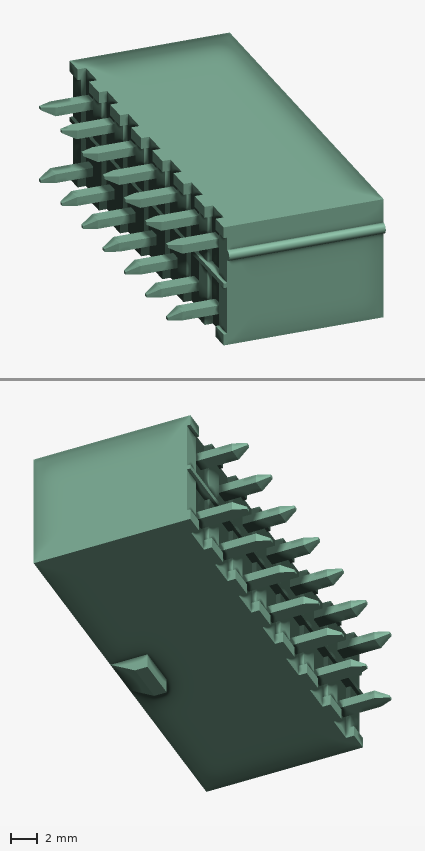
import cadquery as cq

body_width = 30.57
body_depth = 12.83
body_height = 9.75
back_y = body_depth

contact_count = 7
pin_span = 25.2
pitch = pin_span / (contact_count - 1)
row_offset = 0.03
first_pin_x = row_offset - pin_span / 2

lip_height = 0.9
bar_height = 0.37
bar_center_z = 4.93
wall_recess = 0.28
channel_depth = 0.65
end_wall_width = 1.58
lip_width = 1.98
web_width = 1.7

pin_width = 1.15
pin_thickness = 0.7
pin_length = 3.47
pin_shank = 2.45
tip_width = 0.35
tip_thickness = 0.22
lower_pin_bottom = 1.58
upper_pin_top = body_height - 1.95

latch_width = 3.4
latch_drop = 1.18
latch_length = 3.05
latch_ramp = 2.0

side_rib_radius = 0.43
side_rib_z = body_height - 2.35


def box(x_min, x_max, y_min, y_max, z_min, z_max):
    """Axis-aligned block between the given limits."""
    size = (x_max - x_min, y_max - y_min, z_max - z_min)
    return cq.Workplane("XY").box(*size, centered=False).translate((x_min, y_min, z_min))


def channel_edges(index, divider_width):
    """X limits of one contact channel between dividers of the given width."""
    center = first_pin_x + index * pitch
    half_body = body_width / 2
    x_min = center - (pitch - divider_width) / 2
    x_max = center + (pitch - divider_width) / 2
    if index == 0:
        x_min = -half_body + end_wall_width
    if index == contact_count - 1:
        x_max = half_body - end_wall_width
    return x_min, x_max


def make_housing():
    """Block with a lipped front face, cut by vertical channels crossed by a bar."""
    half_width = body_width / 2
    housing = box(-half_width, half_width, 0, back_y, 0, body_height)

    recess_bottom = lip_height
    recess_top = body_height - lip_height
    housing = housing.cut(
        box(-half_width, half_width, 0, wall_recess, recess_bottom, recess_top)
    )
    for index in range(contact_count):
        x_min, x_max = channel_edges(index, lip_width)
        housing = housing.cut(box(x_min, x_max, 0, channel_depth, 0, body_height))
        x_min, x_max = channel_edges(index, web_width)
        housing = housing.cut(box(x_min, x_max, 0, channel_depth, recess_bottom, recess_top))

    bar_bottom = bar_center_z - bar_height / 2
    bar = box(-half_width, half_width, 0, channel_depth, bar_bottom, bar_bottom + bar_height)
    return housing.union(bar)


def make_pin():
    """Pin centred on X with its flat face on Z = 0 and its tapered face upwards."""
    root_y = channel_depth
    shank_y = -pin_shank
    tip_y = -pin_length
    plan = (
        cq.Workplane("XY")
        .moveTo(-pin_width / 2, root_y)
        .lineTo(-pin_width / 2, shank_y)
        .lineTo(-tip_width / 2, tip_y)
        .lineTo(tip_width / 2, tip_y)
        .lineTo(pin_width / 2, shank_y)
        .lineTo(pin_width / 2, root_y)
        .close()
        .extrude(pin_thickness)
    )
    side = (
        cq.Workplane("YZ")
        .moveTo(root_y, 0)
        .lineTo(tip_y, 0)
        .lineTo(tip_y, tip_thickness)
        .lineTo(shank_y, pin_thickness)
        .lineTo(root_y, pin_thickness)
        .close()
        .extrude(pin_width / 2, both=True)
    )
    return plan.intersect(side)


def make_latch():
    """Wedge that ramps down from the back edge of the underside."""
    return (
        cq.Workplane("YZ")
        .moveTo(back_y, 0)
        .lineTo(back_y - latch_ramp, -latch_drop)
        .lineTo(back_y - latch_length, -latch_drop)
        .lineTo(back_y - latch_length, 0)
        .close()
        .extrude(latch_width / 2, both=True)
    )


def make_side_rib():
    """Round bar on the +X face; its inner half lies inside the housing."""
    return (
        cq.Workplane("XZ", origin=(body_width / 2, back_y, side_rib_z))
        .circle(side_rib_radius)
        .extrude(back_y - wall_recess)
    )


result = make_housing().union(make_latch()).union(make_side_rib())

lower_pin = make_pin()
upper_pin = lower_pin.mirror("XY")
for index in range(contact_count):
    pin_x = first_pin_x + index * pitch
    result = result.union(lower_pin.translate((pin_x, 0, lower_pin_bottom)))
    result = result.union(upper_pin.translate((pin_x, 0, upper_pin_top)))